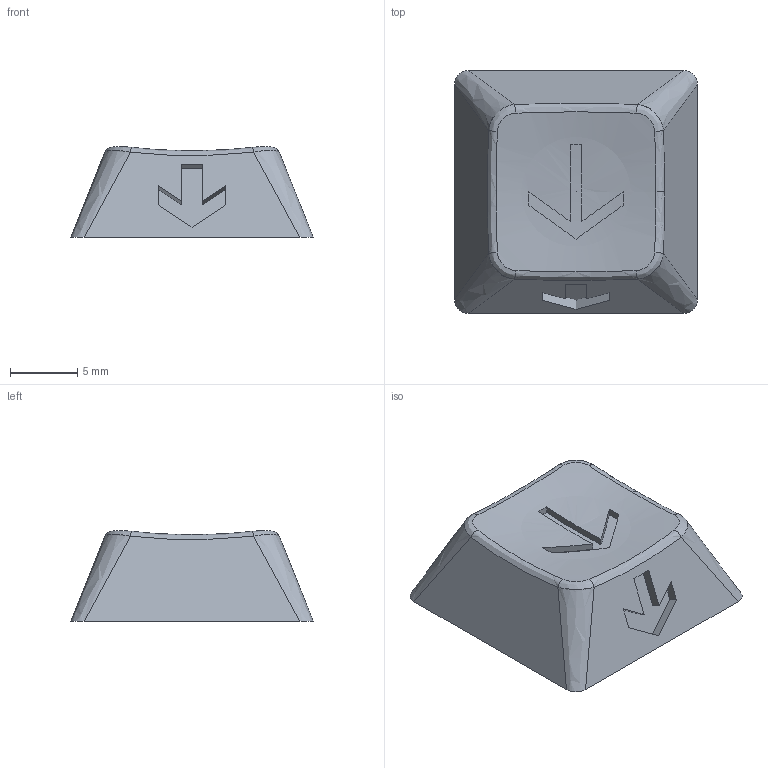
import cadquery as cq

base_side = 18.0
base_corner_radius = 1.0
blank_height = 7.0
blank_top_side = 12.4
blank_top_corner_radius = 2.0

dish_radius = 40.0
dish_bottom_height = 6.0
rim_fillet = 0.6

top_arrow_size = 7.0
top_arrow_stem_width = 0.85
top_arrow_wing_thickness = 1.0
top_arrow_depth = 0.5

front_arrow_size = 5.0
front_arrow_stem_width = 1.57
front_arrow_wing_thickness = 1.53
front_arrow_depth = 0.75
front_arrow_center_height = 3.07

wing_slope = 5.0 / 7.0


def rounded_square(side, corner_radius):
    """Centred square with rounded corners."""
    return cq.Sketch().rect(side, side).vertices().fillet(corner_radius)


def tapered_body():
    bottom = rounded_square(base_side, base_corner_radius)
    top = rounded_square(blank_top_side, blank_top_corner_radius)
    raised_top = top.moved(cq.Location(cq.Vector(0, 0, blank_height)))
    return cq.Workplane().placeSketch(bottom, raised_top).loft(ruled=True)


def dish(bottom_height):
    """Ball whose lowest point lies on the part axis at the given height."""
    return cq.Workplane().sphere(dish_radius).translate((0, 0, bottom_height + dish_radius))


def arrow(plane, size, stem_width, wing_thickness):
    """Arrow outline fitting a centred square, pointing along the local -Y."""
    half = size / 2
    half_stem = stem_width / 2
    wing_bottom = -half + wing_slope * half
    wing_top = wing_bottom + wing_thickness
    notch = wing_top - wing_slope * (half - half_stem)
    right_side = [
        (half, wing_bottom),
        (half, wing_top),
        (half_stem, notch),
        (half_stem, half),
    ]
    left_side = [(-x, y) for x, y in reversed(right_side)]
    return cq.Workplane(plane).polyline([(0, -half)] + right_side + left_side).close()


def top_arrow():
    """Arrow reaching up past the rim, its floor curved like the dish."""
    outline = arrow("XY", top_arrow_size, top_arrow_stem_width, top_arrow_wing_thickness)
    return outline.extrude(blank_height).intersect(dish(dish_bottom_height - top_arrow_depth))


def front_arrow():
    wall_inset = (base_side - blank_top_side) / 2
    center_y = -base_side / 2 + wall_inset * front_arrow_center_height / blank_height
    plane = cq.Plane(
        origin=(0, center_y, front_arrow_center_height),
        xDir=(1, 0, 0),
        normal=(0, -blank_height, wall_inset),
    )
    outline = arrow(plane, front_arrow_size, front_arrow_stem_width, front_arrow_wing_thickness)
    return outline.extrude(-front_arrow_depth)


dished_body = tapered_body().cut(dish(dish_bottom_height))
rounded_body = dished_body.faces(">Z").edges().fillet(rim_fillet)
result = rounded_body.cut(top_arrow()).cut(front_arrow())